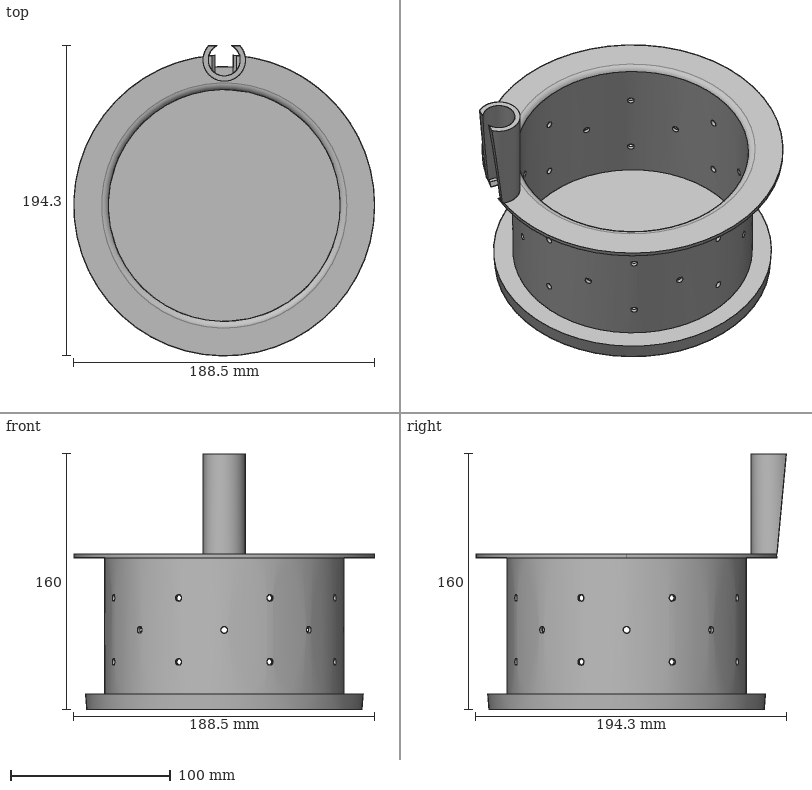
import cadquery as cq
import math

base_bottom_diameter = 172.5
base_top_diameter = 174.0
base_height = 10.0

barrel_outer_diameter = 150.0
barrel_inner_diameter = 145.1
vent_diameter = 4.0
vents_per_row = 8
vent_row_spacing = 20.0
middle_row_z = 50.0

flange_diameter = 188.5
flange_thickness = (barrel_outer_diameter - barrel_inner_diameter) / 2
flange_top_z = 97.5
flange_bottom_z = flange_top_z - flange_thickness
mouth_radius = 2 * flange_thickness

tube_outer_diameter = 26.6
tube_inner_diameter = 20.0
tube_center_y = 91.1
total_height = 160.0
tube_height = total_height - flange_top_z
tube_back_top_y = 100.0
tube_back_bottom_y = flange_diameter / 2

slot_bottom_width = 11.3
slot_top_width = 15.5


def make_cylinder(diameter, bottom_z, height):
    return cq.Workplane("XY").workplane(offset=bottom_z).circle(diameter / 2).extrude(height)


def make_base():
    bottom_radius = base_bottom_diameter / 2
    top_radius = base_top_diameter / 2
    return cq.Workplane(cq.Solid.makeCone(bottom_radius, top_radius, base_height))


def make_mouth_cutter():
    """Opening that rounds over from the flange top to meet the barrel bore at the flange underside."""
    bore_radius = barrel_inner_diameter / 2
    sweep = math.acos(1 - flange_thickness / mouth_radius)
    rim_radius = bore_radius + mouth_radius * math.sin(sweep)
    arc_middle = (
        rim_radius - mouth_radius * math.sin(sweep / 2),
        flange_top_z - mouth_radius * (1 - math.cos(sweep / 2)),
    )
    return (
        cq.Workplane("XZ")
        .moveTo(0, flange_bottom_z)
        .lineTo(bore_radius, flange_bottom_z)
        .threePointArc(arc_middle, (rim_radius, flange_top_z))
        .lineTo(0, flange_top_z)
        .close()
        .revolve(360, (0, 0, 0), (0, 1, 0))
    )


def make_vent_row(row_z, start_angle):
    """Radial cutters spaced evenly around the barrel."""
    cutters = []
    for index in range(vents_per_row):
        angle = math.radians(start_angle + index * 360 / vents_per_row)
        direction = cq.Vector(math.cos(angle), math.sin(angle), 0)
        cutters.append(
            cq.Solid.makeCylinder(vent_diameter / 2, barrel_outer_diameter, cq.Vector(0, 0, row_z), direction)
        )
    return cutters


def make_barrel():
    barrel_height = flange_bottom_z - base_height
    outside = make_cylinder(barrel_outer_diameter, base_height, barrel_height)
    bore = make_cylinder(barrel_inner_diameter, base_height, barrel_height)
    barrel = outside.cut(bore)
    half_pitch = 180 / vents_per_row
    vents = make_vent_row(middle_row_z, 0)
    vents += make_vent_row(middle_row_z - vent_row_spacing, half_pitch)
    vents += make_vent_row(middle_row_z + vent_row_spacing, half_pitch)
    for vent in vents:
        barrel = barrel.cut(cq.Workplane(vent))
    return barrel


def make_flange_slot():
    """Flared slot from the flange rim inward, ending on the line of the tube bore."""
    flared_slot = (
        cq.Workplane("XZ", origin=(0, tube_center_y + tube_outer_diameter / 2, 0))
        .moveTo(-slot_bottom_width / 2, flange_bottom_z)
        .lineTo(slot_bottom_width / 2, flange_bottom_z)
        .lineTo(slot_top_width / 2, flange_top_z)
        .lineTo(-slot_top_width / 2, flange_top_z)
        .close()
        .extrude(tube_outer_diameter)
    )
    bore = make_cylinder(tube_inner_diameter, flange_bottom_z, flange_thickness)
    return flared_slot.intersect(bore.translate((0, tube_center_y, 0)))


def make_flange():
    disc = make_cylinder(flange_diameter, flange_bottom_z, flange_thickness)
    return disc.cut(make_mouth_cutter()).cut(make_flange_slot())


def make_tube():
    """Tube whose back is sliced off by a leaning plane, which opens its bore."""
    outside = make_cylinder(tube_outer_diameter, flange_top_z, tube_height)
    bore = make_cylinder(tube_inner_diameter, flange_top_z, tube_height)
    tube = outside.cut(bore).translate((0, tube_center_y, 0))
    front_y = tube_center_y - tube_outer_diameter
    kept_side = (
        cq.Workplane("YZ")
        .moveTo(front_y, flange_top_z)
        .lineTo(tube_back_bottom_y, flange_top_z)
        .lineTo(tube_back_top_y, total_height)
        .lineTo(front_y, total_height)
        .close()
        .extrude(tube_outer_diameter, both=True)
    )
    return tube.intersect(kept_side)


base = make_base()
barrel = make_barrel()
flange = make_flange()
tube = make_tube()

result = cq.Compound.makeCompound([base.val(), barrel.val(), flange.val(), tube.val()])